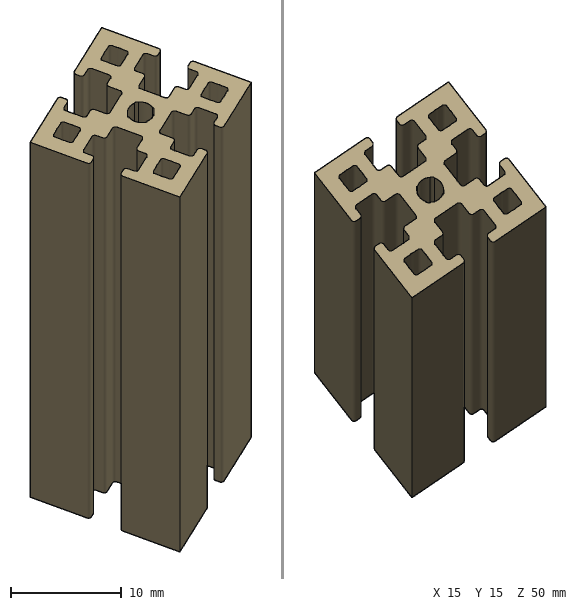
import cadquery as cq
import math

length = 50.0
side = 15.0

mouth_width = 3.0
chamber_width = 5.5
lip_thickness = 1.0
chamber_bottom = 3.3
slot_depth = 5.0
slot_round = 0.3

channel_side = 1.95
channel_core_diameter = 2.0
channel_round = 0.25
corner_channel_offset = 5.0

drill_diameter = 2.4
drill_depth = 10.0
drill_point_angle = 118.0

corner_signs = [(1, 1), (-1, 1), (-1, -1), (1, -1)]


def slot_cutter():
    """T-shaped groove open at the +Y side, running the full length."""
    face = side / 2
    half_mouth = mouth_width / 2
    half_chamber = chamber_width / 2
    right_half = [
        (half_mouth, face),
        (half_mouth, face - lip_thickness),
        (half_chamber, face - lip_thickness),
        (half_chamber, face - chamber_bottom),
        (half_mouth, face - chamber_bottom),
        (half_mouth, face - slot_depth),
    ]
    left_half = [(-x, y) for x, y in reversed(right_half)]
    return cq.Workplane("XY").polyline(right_half + left_half).close().extrude(length)


def slotted_bar():
    """Bar with the four T-slots, all their edges rounded and the outer corners sharp."""
    bar = cq.Workplane("XY").rect(side, side).extrude(length)
    for quarter_turn in range(4):
        bar = bar.cut(slot_cutter().rotate((0, 0, 0), (0, 0, 1), 90 * quarter_turn))
    outer_corners = "<(1,1,0) or >(1,1,0) or <(1,-1,0) or >(1,-1,0)"
    return bar.edges("|Z").edges(f"not({outer_corners})").fillet(slot_round)


def channel_cutter():
    """Rounded square channel whose round core bulges slightly through each flat wall."""
    square = cq.Workplane("XY").rect(channel_side, channel_side).extrude(length)
    square = square.edges("|Z").fillet(channel_round)
    core = cq.Workplane("XY").circle(channel_core_diameter / 2).extrude(length)
    return square.union(core)


def drill_cutter():
    """Round hole sunk from the top face, ending in a conical drill point."""
    radius = drill_diameter / 2
    point_height = radius / math.tan(math.radians(drill_point_angle / 2))
    shoulder = length - drill_depth
    half_section = [
        (0, length),
        (radius, length),
        (radius, shoulder),
        (0, shoulder - point_height),
    ]
    return cq.Workplane("XZ").polyline(half_section).close().revolve(360, (0, 0), (0, 1))


result = slotted_bar().cut(channel_cutter())
for x_sign, y_sign in corner_signs:
    corner = (x_sign * corner_channel_offset, y_sign * corner_channel_offset, 0)
    result = result.cut(channel_cutter().translate(corner))
result = result.cut(drill_cutter())